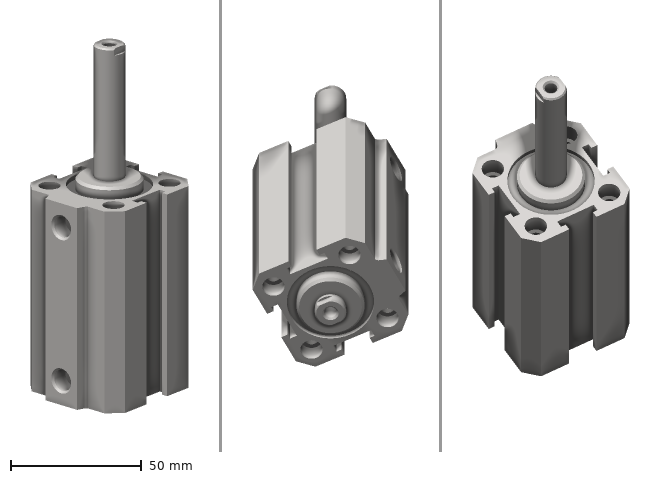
import cadquery as cq
ROD_LENGTH = 147.0
BLOCK_BOTTOM = 7.5
BLOCK_LENGTH = 82.2
BLOCK_TOP = BLOCK_BOTTOM + BLOCK_LENGTH
BLOCK_MIDDLE = BLOCK_BOTTOM + BLOCK_LENGTH / 2

BLOCK_WIDTH = 48.0
HALF_WIDTH = BLOCK_WIDTH / 2
CORNER_CHAMFER = 5.6
PORT_RIB_HEIGHT = 4.0
PORT_FACE_HALF_WIDTH = 8.1
RIB_SHOULDER_HALF_WIDTH = 9.1
RIB_ROOT_HALF_WIDTH = 10.0
RIB_SHOULDER_HEIGHT = 0.95
PORT_FACE_Y = -HALF_WIDTH - PORT_RIB_HEIGHT

SLOT_OPENING = 12.0
SLOT_INNER_WIDTH = 16.2
SLOT_LIP = 2.6
SLOT_DEPTH = 5.6
SLOT_ANGLES = (0, 90, 180)

MOUNT_PITCH = 32.5
MOUNT_DIAMETER = 5.3
COUNTERBORE_DIAMETER = 8.5
COUNTERBORE_DEPTH = 7.4

PORT_DIAMETER = 8.5
PORT_MOUTH_DIAMETER = 10.1
PORT_DEPTH = 7.4
PORT_END_DISTANCE = 9.8

RECESS_DIAMETER = 33.4
RECESS_DEPTH = 1.9
BOSS_DIAMETER = 26.0
BOSS_HEIGHT = 3.4
BOSS_CHAMFER = 1.0

ROD_DIAMETER = 12.0
ROD_CHAMFER = 0.6
FLAT_WIDTH = 10.1
FLAT_LENGTH = 2.8
ROD_HOLE_DIAMETER = 4.9
ROD_HOLE_MOUTH_DIAMETER = 6.3
ROD_HOLE_DEPTH = 11.8


def cylinder(diameter, bottom, height):
    """Cylinder on the Z axis starting at the given height."""
    return cq.Workplane("XY").workplane(offset=bottom).circle(diameter / 2).extrude(height)


def mirror_to_other_end(body, middle):
    """Copy of a feature mirrored in the horizontal plane at the given height."""
    return body.mirror("XY", (0, 0, middle))


def block_profile():
    """Square block with cut corners and a port rib along its front."""
    square = (
        cq.Workplane("XY").workplane(offset=BLOCK_BOTTOM)
        .rect(BLOCK_WIDTH, BLOCK_WIDTH)
        .extrude(BLOCK_LENGTH)
        .edges("|Z").chamfer(CORNER_CHAMFER)
    )
    shoulder_y = -HALF_WIDTH - RIB_SHOULDER_HEIGHT
    rib = (
        cq.Workplane("XY").workplane(offset=BLOCK_BOTTOM)
        .moveTo(-RIB_ROOT_HALF_WIDTH, -HALF_WIDTH)
        .lineTo(-RIB_SHOULDER_HALF_WIDTH, shoulder_y)
        .lineTo(-PORT_FACE_HALF_WIDTH, PORT_FACE_Y)
        .lineTo(PORT_FACE_HALF_WIDTH, PORT_FACE_Y)
        .lineTo(RIB_SHOULDER_HALF_WIDTH, shoulder_y)
        .lineTo(RIB_ROOT_HALF_WIDTH, -HALF_WIDTH)
        .close()
        .extrude(BLOCK_LENGTH)
    )
    return square.union(rib)


def upright_bar(center_x, depth, width):
    """Rectangular bar over the block length, standing on the X axis."""
    base = cq.Workplane("XY", origin=(center_x, 0, BLOCK_BOTTOM))
    return base.rect(depth, width).extrude(BLOCK_LENGTH)


def t_slot(angle):
    """T-slot cutter on the +X side, turned about Z by the given angle."""
    inner_depth = SLOT_DEPTH - SLOT_LIP
    inner_x = HALF_WIDTH - SLOT_DEPTH + inner_depth / 2
    opening = upright_bar(HALF_WIDTH - SLOT_DEPTH / 2, SLOT_DEPTH, SLOT_OPENING)
    cutter = opening.union(upright_bar(inner_x, inner_depth, SLOT_INNER_WIDTH))
    return cutter.rotate((0, 0, 0), (0, 0, 1), angle)


def mounting_holes(diameter, bottom, height):
    """Four cylinders on the mounting pattern."""
    return (
        cq.Workplane("XY").workplane(offset=bottom)
        .rect(MOUNT_PITCH, MOUNT_PITCH, forConstruction=True).vertices()
        .circle(diameter / 2).extrude(height)
    )


def chamfered_hole(diameter, depth, mouth_diameter, mouth_center, direction):
    """Blind hole cutter with a 45 degree chamfer at its mouth."""
    center = cq.Vector(*mouth_center)
    axis = cq.Vector(*direction)
    chamfer = (mouth_diameter - diameter) / 2
    bore = cq.Solid.makeCylinder(diameter / 2, depth, center, axis)
    mouth = cq.Solid.makeCone(mouth_diameter / 2, diameter / 2, chamfer, center, axis)
    return cq.Workplane(bore).union(cq.Workplane(mouth))


def make_housing():
    """Cylinder block with a guide boss at each end, bored through for the rod."""
    housing = block_profile()
    for angle in SLOT_ANGLES:
        housing = housing.cut(t_slot(angle))

    housing = housing.cut(mounting_holes(MOUNT_DIAMETER, BLOCK_BOTTOM, BLOCK_LENGTH))
    counterbores = mounting_holes(COUNTERBORE_DIAMETER, BLOCK_TOP - COUNTERBORE_DEPTH, COUNTERBORE_DEPTH)
    housing = housing.cut(counterbores).cut(mirror_to_other_end(counterbores, BLOCK_MIDDLE))

    for height in (BLOCK_BOTTOM + PORT_END_DISTANCE, BLOCK_TOP - PORT_END_DISTANCE):
        mouth_center = (0, PORT_FACE_Y, height)
        port = chamfered_hole(PORT_DIAMETER, PORT_DEPTH, PORT_MOUTH_DIAMETER, mouth_center, (0, 1, 0))
        housing = housing.cut(port)

    recess_floor = BLOCK_TOP - RECESS_DEPTH
    recess = cylinder(RECESS_DIAMETER, recess_floor, RECESS_DEPTH)
    boss = cylinder(BOSS_DIAMETER, recess_floor, RECESS_DEPTH + BOSS_HEIGHT)
    boss = boss.faces(">Z").chamfer(BOSS_CHAMFER)
    housing = housing.cut(recess).cut(mirror_to_other_end(recess, BLOCK_MIDDLE))
    housing = housing.union(boss).union(mirror_to_other_end(boss, BLOCK_MIDDLE))

    return housing.cut(cylinder(ROD_DIAMETER, 0, ROD_LENGTH))


def make_rod():
    """Through rod with wrench flats and a center hole at each end."""
    rod = cylinder(ROD_DIAMETER, 0, ROD_LENGTH).faces("<Z or >Z").chamfer(ROD_CHAMFER)

    flat_cut_depth = ROD_DIAMETER / 2 - FLAT_WIDTH / 2
    flat_cut_x = FLAT_WIDTH / 2 + flat_cut_depth / 2
    flats = (
        cq.Workplane("XY").workplane(offset=ROD_LENGTH - FLAT_LENGTH)
        .pushPoints([(-flat_cut_x, 0), (flat_cut_x, 0)])
        .rect(flat_cut_depth, ROD_DIAMETER).extrude(FLAT_LENGTH)
    )

    hole = chamfered_hole(
        ROD_HOLE_DIAMETER, ROD_HOLE_DEPTH, ROD_HOLE_MOUTH_DIAMETER, (0, 0, ROD_LENGTH), (0, 0, -1)
    )
    for cutter in (flats, hole):
        rod = rod.cut(cutter).cut(mirror_to_other_end(cutter, ROD_LENGTH / 2))
    return rod


housing = make_housing()
rod = make_rod()
result = cq.Compound.makeCompound([housing.solids().val(), rod.solids().val()])